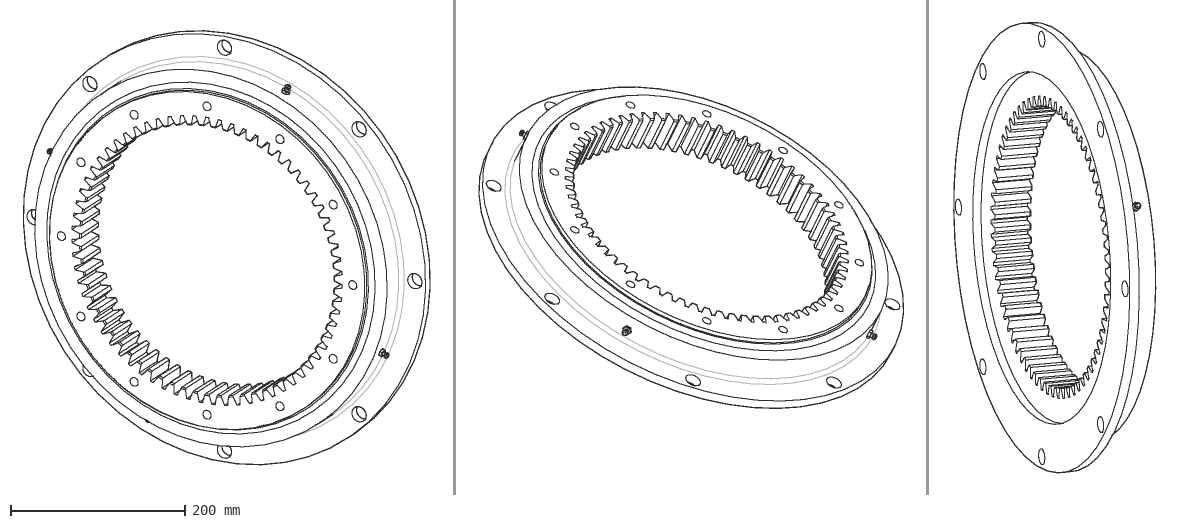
import cadquery as cq
import math


flange_radius = 259.0
flange_thickness = 12.0
body_radius = 227.0
body_depth = 46.0
flange_fillet = 4.5
flange_hole_count = 8
flange_hole_diameter = 18.0
flange_hole_circle = 245.0

ring_radius = 203.0
ring_back_depth = 10.5
ring_front_depth = 56.0
bolt_hole_count = 12
bolt_hole_diameter = 10.5
bolt_hole_circle = 187.5
bolt_hole_depth = 20.5
drill_tip_angle = 118

tooth_count = 67
tip_radius = 162.5
root_radius = 174.0
gap_tip_width = 10.5
gap_root_width = 3.5
tip_chamfer = 1.5

seal_depth = 51.0
seal_base_radius = 211.5
seal_lip_radius = 205.0

nipple_count = 4
nipple_first_angle = 67.5
nipple_angles = [nipple_first_angle + index * 360 / nipple_count for index in range(nipple_count)]
nipple_depth = 28.0
shank_diameter = 8.0
shank_length = 5.0
hexagon_across_flats = 9.0
hexagon_height = 3.0
neck_diameter = 4.5
neck_height = 2.5
head_diameter = 6.5
head_height = 4.0
head_chamfer = 1.3


def profile_point(radius, depth):
    """Local coordinates of a point in the YZ half plane above the axis."""
    return (-depth, radius)


def revolve_about_y(outline):
    """Turn a closed outline in the YZ plane about the Y axis."""
    return outline.revolve(360, (0, 0, 0), (1, 0, 0))


def profile(points):
    """A closed outline in the YZ plane through (radius, depth) points."""
    corners = [profile_point(radius, depth) for radius, depth in points]
    return cq.Workplane("YZ").polyline(corners).close()


def plane_at_depth(depth):
    """A plane facing the front (-Y), with local x along X and local y along Z."""
    return cq.Workplane("XZ", origin=(0, -depth, 0))


def radial_plane(angle, radius):
    """A plane at the nipple depth whose normal points outward at an angle from X."""
    direction = (math.cos(math.radians(angle)), 0, math.sin(math.radians(angle)))
    origin = (radius * direction[0], -nipple_depth, radius * direction[2])
    return cq.Workplane(cq.Plane(origin=origin, xDir=(0, 1, 0), normal=direction))


def polar_point(radius, angle):
    return (radius * math.cos(angle), radius * math.sin(angle))


def make_gear_bore():
    """The toothed opening of the inner ring, with one tooth gap centred on +Z."""
    pitch_angle = 2 * math.pi / tooth_count
    tip_half = math.asin(gap_tip_width / 2 / tip_radius)
    root_half = math.asin(gap_root_width / 2 / root_radius)
    first_gap = math.pi / 2
    bore = plane_at_depth(ring_back_depth).moveTo(*polar_point(tip_radius, first_gap - tip_half))
    for index in range(tooth_count):
        gap = first_gap + index * pitch_angle
        tooth = gap + pitch_angle / 2
        next_gap = gap + pitch_angle
        bore = bore.lineTo(*polar_point(root_radius, gap - root_half))
        bore = bore.threePointArc(
            polar_point(root_radius, gap),
            polar_point(root_radius, gap + root_half),
        )
        bore = bore.lineTo(*polar_point(tip_radius, gap + tip_half))
        bore = bore.threePointArc(
            polar_point(tip_radius, tooth),
            polar_point(tip_radius, next_gap - tip_half),
        )
    return bore.close().extrude(ring_front_depth - ring_back_depth)


def make_outer_ring():
    fillet_depth = flange_thickness + flange_fillet
    outline = (
        cq.Workplane("YZ")
        .moveTo(*profile_point(ring_radius, 0))
        .lineTo(*profile_point(flange_radius, 0))
        .lineTo(*profile_point(flange_radius, flange_thickness))
        .lineTo(*profile_point(body_radius + flange_fillet, flange_thickness))
        .radiusArc(profile_point(body_radius, fillet_depth), flange_fillet)
        .lineTo(*profile_point(body_radius, body_depth))
        .lineTo(*profile_point(ring_radius, body_depth))
        .close()
    )
    ring = revolve_about_y(outline)
    flange_holes = (
        plane_at_depth(0)
        .polarArray(flange_hole_circle, 0, 360, flange_hole_count)
        .circle(flange_hole_diameter / 2)
        .extrude(flange_thickness)
    )
    ring = ring.cut(flange_holes)
    for angle in nipple_angles:
        hole = (
            radial_plane(angle, body_radius - shank_length)
            .circle(shank_diameter / 2)
            .extrude(2 * shank_length)
        )
        ring = ring.cut(hole)
    return ring


def make_bolt_holes():
    """Blind holes with conical drill tips, open at the front face of the inner ring."""
    radius = bolt_hole_diameter / 2
    tip_length = radius / math.tan(math.radians(drill_tip_angle / 2))
    bottom_depth = ring_front_depth - bolt_hole_depth
    drill = revolve_about_y(
        profile(
            [
                (0, ring_front_depth),
                (radius, ring_front_depth),
                (radius, bottom_depth),
                (0, bottom_depth - tip_length),
            ]
        )
    )
    first_hole = drill.translate((bolt_hole_circle, 0, 0))
    holes = cq.Workplane("XY")
    for index in range(bolt_hole_count):
        angle = index * 360 / bolt_hole_count
        holes = holes.add(first_hole.rotate((0, 0, 0), (0, 1, 0), angle))
    return cq.Workplane(cq.Compound.makeCompound(holes.vals()))


def make_inner_ring():
    blank = revolve_about_y(
        profile(
            [
                (0, ring_back_depth),
                (ring_radius, ring_back_depth),
                (ring_radius, ring_front_depth),
                (0, ring_front_depth),
            ]
        )
    )
    chamfer_depth = ring_front_depth - tip_chamfer
    tip_cone = revolve_about_y(
        profile(
            [
                (0, ring_front_depth),
                (tip_radius + tip_chamfer, ring_front_depth),
                (tip_radius, chamfer_depth),
                (0, chamfer_depth),
            ]
        )
    )
    return blank.cut(make_gear_bore()).cut(tip_cone).cut(make_bolt_holes())


def make_seal():
    return revolve_about_y(
        profile(
            [
                (ring_radius, body_depth),
                (seal_base_radius, body_depth),
                (seal_lip_radius, seal_depth),
                (ring_radius, seal_depth),
            ]
        )
    )


def make_nipple(angle):
    """One nipple: a shank in the outer ring, a hexagon on its wall, a neck and a chamfered head."""
    shank = (
        radial_plane(angle, body_radius - shank_length)
        .circle(shank_diameter / 2)
        .extrude(shank_length)
    )
    hexagon = (
        radial_plane(angle, body_radius)
        .polygon(6, hexagon_across_flats, circumscribed=True)
        .extrude(hexagon_height)
    )
    neck_base = body_radius + hexagon_height
    neck = radial_plane(angle, neck_base).circle(neck_diameter / 2).extrude(neck_height)
    head = (
        radial_plane(angle, neck_base + neck_height)
        .circle(head_diameter / 2)
        .extrude(head_height)
        .edges()
        .chamfer(head_chamfer)
    )
    return shank.union(hexagon).union(neck).union(head)


outer_ring = make_outer_ring()
inner_ring = make_inner_ring()
seal = make_seal()
nipples = [make_nipple(angle) for angle in nipple_angles]

result = cq.Compound.makeCompound(
    [outer_ring.val(), inner_ring.val(), seal.val(), *[nipple.val() for nipple in nipples]]
)